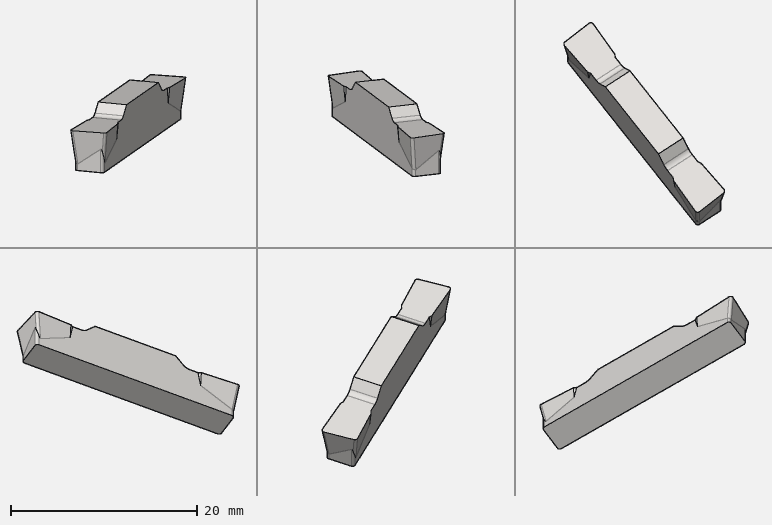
import cadquery as cq
import math

body_width = 3.26
body_length = 24.1
height = 5.8
ledge_height = 4.52
crown_length = 9.8
ramp_angle = 45.0
ramp_radius = 1.0
corner_radius = 0.3

tip_half_width = 2.03
tip_reach = 12.58
tip_slant = 5.0
root_half_width = 1.8
root_reach = 7.93
side_relief = 5.7
front_relief = 7.0
rear_run = 1.3
rear_rise = 0.7
rear_depth = 0.65

side_slope = (tip_half_width - root_half_width) / (tip_reach - root_reach)
slant = math.tan(math.radians(tip_slant))


def make_body():
    """Bar with a raised crown, ramps down to the ledges and rounded upright corners."""
    half_crown = crown_length / 2
    half_length = body_length / 2
    ramp_run = (height - ledge_height) / math.tan(math.radians(ramp_angle))
    ramp_foot = half_crown + ramp_run
    profile = [
        (-half_length, 0),
        (half_length, 0),
        (half_length, ledge_height),
        (ramp_foot, ledge_height),
        (half_crown, height),
        (-half_crown, height),
        (-ramp_foot, ledge_height),
        (-half_length, ledge_height),
    ]
    bar = cq.Workplane("YZ").polyline(profile).close().extrude(body_width / 2, both=True)
    bar = bar.edges("|Z").fillet(corner_radius)
    for foot in (-ramp_foot, ramp_foot):
        foot_edge = cq.selectors.NearestToPointSelector((0, foot, ledge_height))
        bar = bar.edges(foot_edge).fillet(ramp_radius)
    return bar


def head_outline(depth):
    """Plan outline of the head at -Y, at a given depth below the ledge."""
    root_x = root_half_width - depth * math.tan(math.radians(side_relief))
    front_offset = tip_reach - slant * tip_half_width - depth * math.tan(math.radians(front_relief))
    side_offset = root_x - side_slope * root_reach

    def tip_corner(side):
        x = side * (side_offset + side_slope * front_offset) / (1 + side * side_slope * slant)
        return x, slant * x - front_offset

    inner_x = root_x - rear_depth * rear_rise / rear_run
    inner_y = rear_depth - root_reach
    return [
        tip_corner(-1),
        tip_corner(1),
        (root_x, -root_reach),
        (inner_x, inner_y),
        (-inner_x, inner_y),
        (-root_x, -root_reach),
    ]


def make_head():
    """Relieved cutting head at -Y, tapering inward from the ledge down into the body."""
    head = (
        cq.Workplane("XY")
        .polyline(head_outline(ledge_height)).close()
        .workplane(offset=ledge_height)
        .polyline(head_outline(0)).close()
        .loft(ruled=True)
    )
    tip_edges = zip(head_outline(0)[:2], head_outline(ledge_height)[:2])
    for top, bottom in tip_edges:
        middle = ((top[0] + bottom[0]) / 2, (top[1] + bottom[1]) / 2, ledge_height / 2)
        head = head.edges(cq.selectors.NearestToPointSelector(middle)).fillet(corner_radius)
    return head


front_head = make_head()
rear_head = front_head.rotate((0, 0, 0), (0, 0, 1), 180)
result = make_body().union(front_head).union(rear_head).clean()